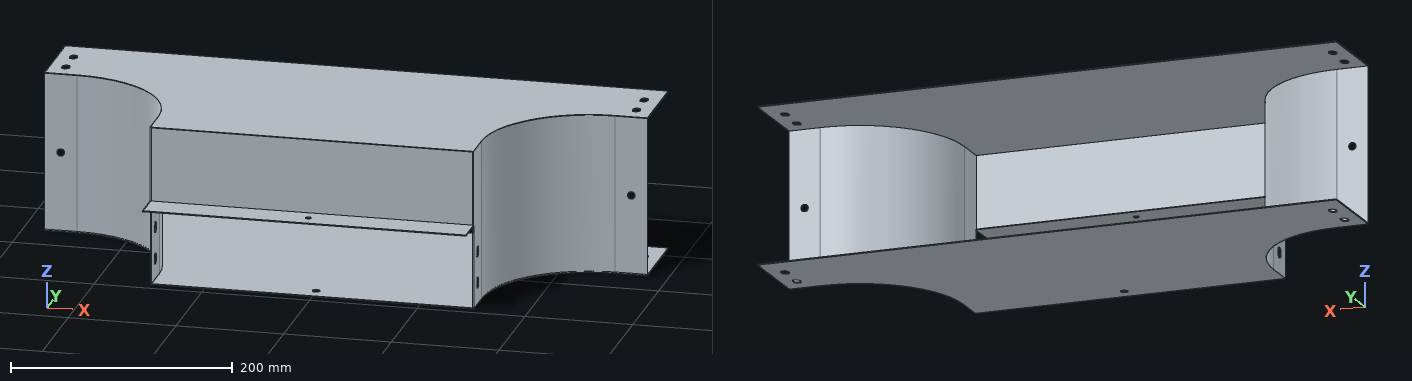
import cadquery as cq
import math

length = 560.0
height = 150.0
sheet = 1.0
tab = 30.0
bend_radius = 99.5
arm_depth = 80.0
lip = 30.0
apron_height = 71.0

pin_diameter = 7.0
lip_hole_diameter = 5.0
slot_width = 7.0
slot_length = 10.0
edge_offset = 15.0
slot_near = 20.0
slot_far = 50.0

half_length = length / 2
half_throat = half_length - tab - bend_radius
arm_front = tab + bend_radius
body_depth = arm_front + arm_depth
curve_x = half_length - tab
lip_bottom = height - apron_height


def plate(bottom):
    """Tee-shaped sheet with two concave quarter-circle corners."""
    reach = bend_radius * math.sqrt(0.5)
    mid_x = curve_x - reach
    mid_y = tab + reach
    return (
        cq.Workplane("XY", origin=(0, 0, bottom))
        .moveTo(-half_throat, 0)
        .lineTo(half_throat, 0)
        .lineTo(half_throat, tab)
        .threePointArc((mid_x, mid_y), (curve_x, arm_front))
        .lineTo(half_length, arm_front)
        .lineTo(half_length, body_depth)
        .lineTo(-half_length, body_depth)
        .lineTo(-half_length, arm_front)
        .lineTo(-curve_x, arm_front)
        .threePointArc((-mid_x, mid_y), (-half_throat, tab))
        .close()
        .extrude(sheet)
    )


def side_wall():
    """Right-hand wall: straight throat tab, quarter bend and straight arm tab."""
    outer = bend_radius * math.sqrt(0.5)
    inner = (bend_radius + sheet) * math.sqrt(0.5)
    return (
        cq.Workplane("XY")
        .moveTo(half_throat, 0)
        .lineTo(half_throat, tab)
        .threePointArc((curve_x - outer, tab + outer), (curve_x, arm_front))
        .lineTo(half_length, arm_front)
        .lineTo(half_length, arm_front + sheet)
        .lineTo(curve_x, arm_front + sheet)
        .threePointArc((curve_x - inner, tab + inner), (half_throat - sheet, tab))
        .lineTo(half_throat - sheet, 0)
        .close()
        .extrude(height)
    )


def apron():
    """Panel lapped over the front edge, folded out into a horizontal lip."""
    width = 2 * half_throat
    panel = cq.Workplane("XY").box(width, sheet, apron_height, centered=(True, False, False))
    shelf = cq.Workplane("XY").box(width, lip, sheet, centered=(True, False, False))
    return (
        panel.translate((0, -sheet, lip_bottom))
        .union(shelf.translate((0, -lip, lip_bottom)))
    )


right_wall = side_wall()
body = (
    plate(0)
    .union(plate(height - sheet))
    .union(right_wall)
    .union(right_wall.mirror("YZ"))
    .union(apron())
)

slot_x = half_length - edge_offset
arm_slots = (
    cq.Workplane("XY")
    .pushPoints([(x, arm_front + y) for x in (-slot_x, slot_x) for y in (slot_near, slot_far)])
    .slot2D(slot_length, slot_width, 90)
    .extrude(height)
)

throat_slots = (
    cq.Workplane("YZ")
    .pushPoints([(edge_offset, z) for z in (slot_near, slot_far)])
    .slot2D(slot_length, slot_width, 90)
    .extrude(half_throat, both=True)
)

arm_pins = (
    cq.Workplane("XZ", origin=(0, arm_front + sheet, 0))
    .pushPoints([(x, height / 2) for x in (-slot_x, slot_x)])
    .circle(pin_diameter / 2)
    .extrude(sheet)
)

lip_hole = (
    cq.Workplane("XY", origin=(0, -edge_offset, lip_bottom))
    .circle(lip_hole_diameter / 2)
    .extrude(sheet)
)

floor_hole = (
    cq.Workplane("XY", origin=(0, edge_offset, 0))
    .circle(pin_diameter / 2)
    .extrude(sheet)
)

result = body.cut(arm_slots).cut(throat_slots).cut(arm_pins).cut(lip_hole).cut(floor_hole)